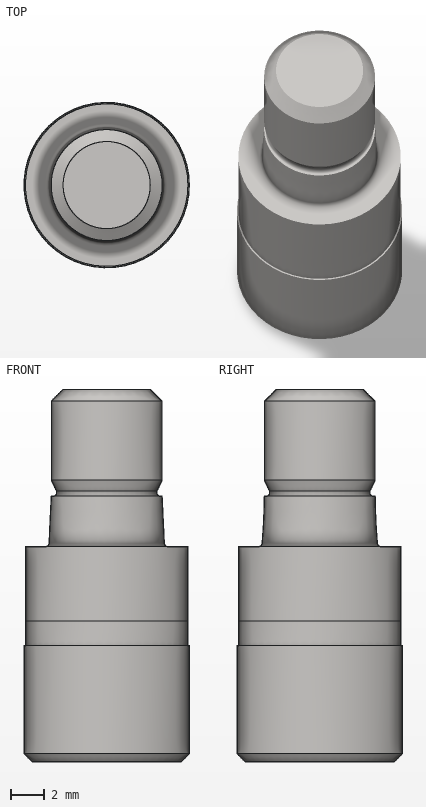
import cadquery as cq
import math

foot_radius = 5.0
foot_chamfer = 0.5
foot_top = 7.02
body_radius = 4.9
split_height = 8.5

shoulder_top = 13.0
neck_base_radius = 3.49
neck_top_radius = 3.35
neck_top = 16.05
neck_fillet = 0.2
groove_radius = 3.04
groove_fillet = 0.2
groove_top = 16.35
head_radius = 3.35
head_bottom = 17.0
head_chamfer = 0.72
total_height = 22.5

quarter_arc_offset = 1 - math.sqrt(0.5)


def concave_fillet(profile, wall_radius, floor_height, size):
    """Add a quarter arc running from a level floor up into an upright wall."""
    middle = (wall_radius + size * quarter_arc_offset, floor_height + size * quarter_arc_offset)
    return profile.threePointArc(middle, (wall_radius, floor_height + size))


def revolve_profile(profile):
    """Close a half section and turn it about the Z axis."""
    return profile.close().revolve(360, (0, 0, 0), (0, 1, 0))


def make_base():
    profile = (
        cq.Workplane("XZ")
        .lineTo(foot_radius - foot_chamfer, 0)
        .lineTo(foot_radius, foot_chamfer)
        .lineTo(foot_radius, foot_top)
        .lineTo(body_radius, foot_top)
        .lineTo(body_radius, split_height)
        .lineTo(0, split_height)
    )
    return revolve_profile(profile)


def make_stud():
    profile = (
        cq.Workplane("XZ")
        .moveTo(0, split_height)
        .lineTo(body_radius, split_height)
        .lineTo(body_radius, shoulder_top)
        .lineTo(neck_base_radius + neck_fillet, shoulder_top)
    )
    profile = concave_fillet(profile, neck_base_radius, shoulder_top, neck_fillet)
    profile = (
        profile.lineTo(neck_top_radius, neck_top)
        .lineTo(groove_radius + groove_fillet, neck_top)
    )
    profile = concave_fillet(profile, groove_radius, neck_top, groove_fillet)
    profile = (
        profile.lineTo(groove_radius, groove_top)
        .lineTo(head_radius, head_bottom)
        .lineTo(head_radius, total_height - head_chamfer)
        .lineTo(head_radius - head_chamfer, total_height)
        .lineTo(0, total_height)
    )
    return revolve_profile(profile)


base = make_base()
stud = make_stud()

result = cq.Compound.makeCompound([base.val(), stud.val()])